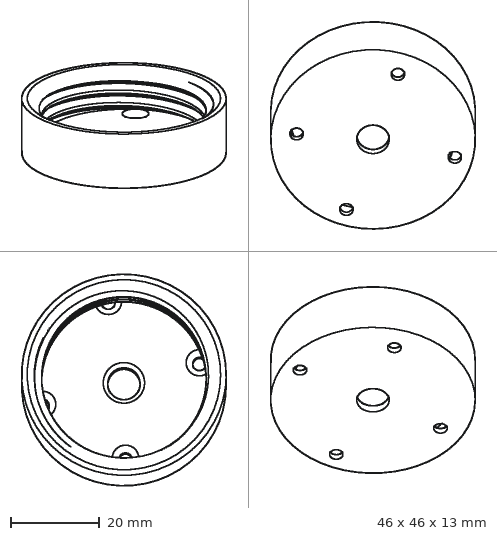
import cadquery as cq
import math

outer_diameter = 46
height = 13.0
floor_thickness = 3.0
mouth_diameter = 43.45
lead_in_depth = 2.75

minor_diameter = 37.0
major_diameter = 40.35
pitch = 3.0
crest_width = pitch / 4
flank_half_angle = math.radians(30)
thread_turns = 5
groove_start_angle = 200
groove_start_z = 0.85
bore_overlap = 0.25

center_hole_diameter = 7.25
center_sink_diameter = 9.3
screw_hole_diameter = 3.0
screw_sink_diameter = 6
screw_centers = [(-9.48, 14.4), (-11.9, -12.93), (12.9, 13.9), (12.9, -13.9)]
sink_angle = 90


def disc(diameter, bottom_z, top_z):
    return (
        cq.Workplane("XY")
        .workplane(offset=bottom_z)
        .circle(diameter / 2)
        .extrude(top_z - bottom_z)
    )


def groove_cutter():
    """Trapezoid swept along a helix, wide at the bore and narrow at the root."""
    root_radius = major_diameter / 2
    inner_radius = minor_diameter / 2 - bore_overlap
    thread_depth = (major_diameter - minor_diameter) / 2
    flank_slope = math.tan(flank_half_angle)
    half_mouth = (pitch - crest_width) / 2
    half_inner = half_mouth + bore_overlap * flank_slope
    half_root = half_mouth - thread_depth * flank_slope
    helix = cq.Wire.makeHelix(pitch, pitch * thread_turns, root_radius)
    return (
        cq.Workplane("XZ")
        .polyline([
            (inner_radius, -half_inner),
            (root_radius, -half_root),
            (root_radius, half_root),
            (inner_radius, half_inner),
        ])
        .close()
        .sweep(cq.Workplane(helix), isFrenet=True)
        .rotate((0, 0, 0), (0, 0, 1), groove_start_angle)
        .translate((0, 0, groove_start_z))
    )


def lead_in_cutter():
    """Cone that opens from the thread crests to the mouth."""
    return cq.Workplane(cq.Solid.makeCone(
        minor_diameter / 2, mouth_diameter / 2, lead_in_depth,
        pnt=cq.Vector(0, 0, height - lead_in_depth),
    ))


def threaded_wall():
    """Wall above the floor: a solid disc grooved first, then bored and opened at the mouth."""
    blank = disc(outer_diameter, floor_thickness, height)
    bore = disc(minor_diameter, 0, height + floor_thickness)
    return blank.cut(groove_cutter()).cut(bore).cut(lead_in_cutter())


def drilled_floor():
    return (
        disc(outer_diameter, 0, floor_thickness)
        .faces(">Z")
        .workplane()
        .cskHole(center_hole_diameter, center_sink_diameter, sink_angle)
        .pushPoints(screw_centers)
        .cskHole(screw_hole_diameter, screw_sink_diameter, sink_angle)
    )


result = drilled_floor().union(threaded_wall())